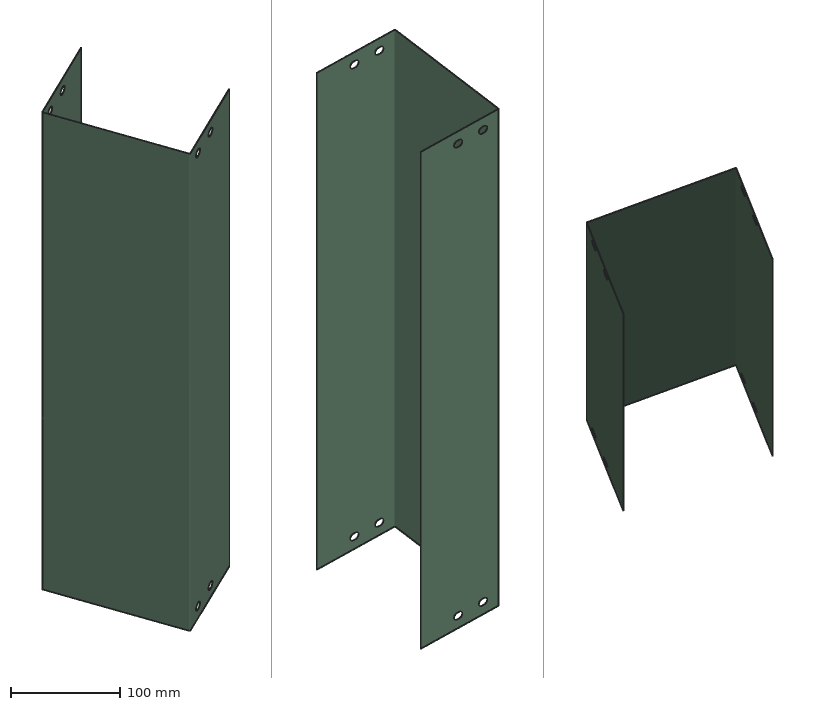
import cadquery as cq

WIDTH = 147.5
DEPTH = 94.35
HEIGHT = 600.0

SHEET = 0.8
INNER_BEND_RADIUS = 0.2
OUTER_BEND_RADIUS = INNER_BEND_RADIUS + SHEET

END_OFFSET = 15.0
FIRST_SLOT_FROM_WEB = 19.2
SLOT_SPACING = 30.0
SLOT_LENGTH = 10.0
SLOT_WIDTH = 8.0

FIRST_SLOT_Y = -DEPTH / 2 + FIRST_SLOT_FROM_WEB
SLOT_YS = (FIRST_SLOT_Y, FIRST_SLOT_Y + SLOT_SPACING)
SLOT_Z = HEIGHT / 2 - END_OFFSET


def make_channel():
    """U channel: a web facing -Y and two flanges running toward +Y."""
    outer = (
        cq.Workplane("XY")
        .box(WIDTH, DEPTH, HEIGHT)
        .edges("|Z and <Y")
        .fillet(OUTER_BEND_RADIUS)
    )
    inside = (
        cq.Workplane("XY")
        .box(WIDTH - 2 * SHEET, DEPTH, HEIGHT)
        .edges("|Z and <Y")
        .fillet(INNER_BEND_RADIUS)
        .translate((0, SHEET, 0))
    )
    return outer.cut(inside)


def make_fixing_slots():
    """Round-ended slots, long along Y, crossing both flanges."""
    centers = [(y, z) for y in SLOT_YS for z in (-SLOT_Z, SLOT_Z)]
    return (
        cq.Workplane("YZ")
        .pushPoints(centers)
        .slot2D(SLOT_LENGTH, SLOT_WIDTH)
        .extrude(WIDTH / 2, both=True)
    )


result = make_channel().cut(make_fixing_slots())